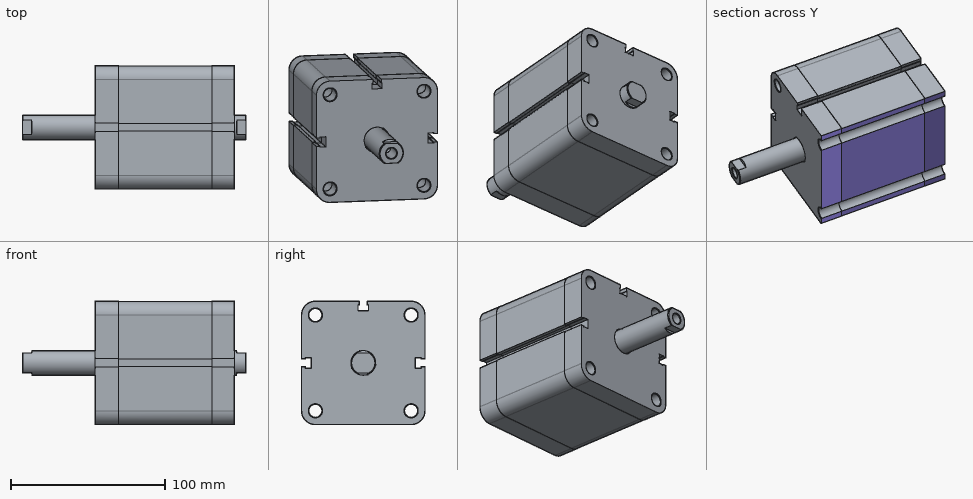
import cadquery as cq
cap_side = 80.0
cap_corner_radius = 9.0
barrel_inset = 0.1
barrel_side = cap_side - 2 * barrel_inset
barrel_corner_radius = cap_corner_radius - barrel_inset
bolt_spacing = cap_side - 2 * cap_corner_radius
bolt_diameter = 8.4
bolt_chamfer = 0.4

rod_length = 145.0
front_reach = 47.2
front_cap_length = 15.0
barrel_length = 60.5
rear_cap_length = 14.6
front_cap_x = front_reach
barrel_x = front_cap_x + front_cap_length
rear_cap_x = barrel_x + barrel_length

slot_depth = 6.2
slot_lip = 2.5
cap_slot_mouth = 5.6
cap_slot_cavity = 6.6
barrel_slot_mouth = 4.9
barrel_slot_cavity = 6.6
slot_angles = (-90, 0, 90)

rod_diameter = 16.0
cap_bore_diameter = 17.0
flats_width = 13.0
flat_length = 6.0
flat_runout = 0.4
rod_chamfer = 0.5
thread_hole_diameter = 7.0
thread_hole_chamfer = 0.4
thread_hole_depth = 20.0
drill_tip_depth = 2.0


def slot_cutter(x_start, length, mouth, cavity, angle):
    """T-slot along X, opening upward and then turned about the rod axis."""
    top = cap_side / 2
    lip_edge = top - slot_lip
    floor = top - slot_depth
    profile = [
        (-mouth / 2, top),
        (-mouth / 2, lip_edge),
        (-cavity / 2, lip_edge),
        (-cavity / 2, floor),
        (cavity / 2, floor),
        (cavity / 2, lip_edge),
        (mouth / 2, lip_edge),
        (mouth / 2, top),
    ]
    cutter = cq.Workplane("YZ", origin=(x_start, 0, 0)).polyline(profile).close().extrude(length)
    return cutter.rotate((0, 0, 0), (1, 0, 0), angle)


def square_section(x_start, length, side, corner_radius, bore_diameter, mouth, cavity):
    """Rounded square block with bolt holes, a rod bore and the sensor slots."""
    section = (
        cq.Workplane("YZ", origin=(x_start, 0, 0))
        .rect(side, side)
        .extrude(length)
        .edges("|X")
        .fillet(corner_radius)
    )
    bolt_holes = (
        cq.Workplane("YZ", origin=(x_start, 0, 0))
        .rect(bolt_spacing, bolt_spacing, forConstruction=True)
        .vertices()
        .circle(bolt_diameter / 2)
        .extrude(length)
    )
    bore = cq.Workplane("YZ", origin=(x_start, 0, 0)).circle(bore_diameter / 2).extrude(length)
    section = section.cut(bolt_holes).cut(bore)
    for angle in slot_angles:
        section = section.cut(slot_cutter(x_start, length, mouth, cavity, angle))
    return section


def end_cap(x_start, length, bore_diameter, outer_face):
    """Cap whose bolt holes are chamfered on the face that looks away from the barrel."""
    cap = square_section(
        x_start,
        length,
        cap_side,
        cap_corner_radius,
        bore_diameter,
        cap_slot_mouth,
        cap_slot_cavity,
    )
    bolt_rims = cap.faces(outer_face).edges(cq.selectors.RadiusNthSelector(0))
    return bolt_rims.chamfer(bolt_chamfer)


def flat_cutter():
    """Wedge-ended block that mills the upper wrench flat at the x = 0 end of the rod."""
    radius = rod_diameter / 2
    profile = [
        (0, flats_width / 2),
        (flat_length, flats_width / 2),
        (flat_length + flat_runout, radius),
        (0, radius),
    ]
    return cq.Workplane("XZ").polyline(profile).close().extrude(radius, both=True)


def make_rod():
    rod = (
        cq.Workplane("YZ")
        .circle(rod_diameter / 2)
        .extrude(rod_length)
        .faces("<X or >X")
        .chamfer(rod_chamfer)
    )
    upper_front = flat_cutter()
    upper_rear = upper_front.mirror("YZ").translate((rod_length, 0, 0))
    for upper_flat in (upper_front, upper_rear):
        rod = rod.cut(upper_flat).cut(upper_flat.mirror("XY"))
    hole_radius = thread_hole_diameter / 2
    hole_outline = [
        (0, 0),
        (0, hole_radius + thread_hole_chamfer),
        (thread_hole_chamfer, hole_radius),
        (thread_hole_depth, hole_radius),
        (thread_hole_depth + drill_tip_depth, 0),
    ]
    hole = cq.Workplane("XZ").polyline(hole_outline).close().revolve(360, (0, 0, 0), (1, 0, 0))
    return rod.cut(hole)


front_cap = end_cap(front_cap_x, front_cap_length, cap_bore_diameter, "<X")
barrel = square_section(
    barrel_x,
    barrel_length,
    barrel_side,
    barrel_corner_radius,
    rod_diameter,
    barrel_slot_mouth,
    barrel_slot_cavity,
)
rear_cap = end_cap(rear_cap_x, rear_cap_length, rod_diameter, ">X")
piston_rod = make_rod()

result = cq.Compound.makeCompound(
    [front_cap.val(), barrel.val(), rear_cap.val(), piston_rod.val()]
)